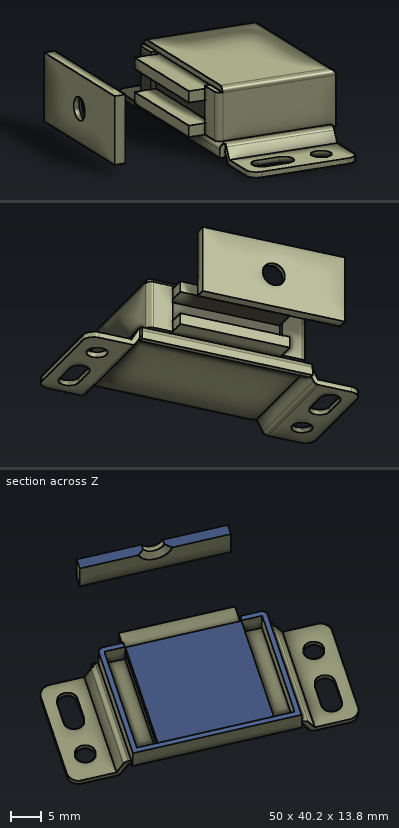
import cadquery as cq
import math

sheet = 1.0
depth = 20.0
half_depth = depth / 2

bracket_length = 50.0
plate_half_width = 15.0
plate_bottom = 2.5
plate_top = plate_bottom + sheet
leg_angle = 60.0
flange_width = 31.0
flange_bottom = 1.0
foot_corner_radius = 2.0
foot_hole_x = 21.0
foot_hole_y = 5.0
foot_hole_diameter = 3.5
slot_y = 4.0
slot_length = 7.5

case_width = 29.0
case_top = 13.0
lip_top = case_top - sheet
lip_opening = 20.0

magnet_width = lip_opening
magnet_height = 4.0
pole_thickness = 2.0
pole_overhang = 3.0

strike_width = 26.0
strike_height = 12.0
strike_thickness = 2.0
strike_bottom = 1.75
strike_back_y = -27.25
strike_hole_diameter = 4.0
countersink_diameter = 6.0
countersink_angle = 90.0

front_y = -half_depth - sheet
back_y = half_depth + sheet


def box(x_min, x_max, y_min, y_max, z_min, z_max):
    """Axis-aligned box between the given limits."""
    size = (x_max - x_min, y_max - y_min, z_max - z_min)
    return cq.Workplane("XY").box(*size, centered=False).translate((x_min, y_min, z_min))


def make_bracket_strip():
    """Raised plate with a sloping leg and a flat foot on either side, bent from one strip."""
    slope = math.radians(leg_angle)
    bend_end_x = plate_half_width + sheet * math.sin(slope)
    bend_end_z = plate_bottom + sheet * math.cos(slope)
    bend_middle_x = plate_half_width + sheet * math.sin(slope / 2)
    bend_middle_z = plate_bottom + sheet * math.cos(slope / 2)
    leg_foot_top_x = bend_end_x + (bend_end_z - sheet) / math.tan(slope)
    foot_bend_end_x = leg_foot_top_x - sheet * math.sin(slope)
    foot_bend_end_z = sheet - sheet * math.cos(slope)
    foot_bend_middle_x = leg_foot_top_x - sheet * math.sin(slope / 2)
    foot_bend_middle_z = sheet - sheet * math.cos(slope / 2)
    foot_end_x = bracket_length / 2
    half_profile = (
        cq.Workplane("XZ", origin=(0, half_depth, 0))
        .moveTo(0, plate_bottom)
        .lineTo(plate_half_width, plate_bottom)
        .lineTo(foot_bend_end_x, foot_bend_end_z)
        .threePointArc((foot_bend_middle_x, foot_bend_middle_z), (leg_foot_top_x, 0))
        .lineTo(foot_end_x, 0)
        .lineTo(foot_end_x, sheet)
        .lineTo(leg_foot_top_x, sheet)
        .lineTo(bend_end_x, bend_end_z)
        .threePointArc((bend_middle_x, bend_middle_z), (plate_half_width, plate_top))
        .lineTo(0, plate_top)
        .close()
    )
    half_strip = half_profile.extrude(depth).edges("|Z and >X").fillet(foot_corner_radius)
    return half_strip.union(half_strip.mirror("YZ"))


def make_bracket_flange():
    """Front flange bent down from the plate, its ends rounded to follow the leg bends."""
    half_width = flange_width / 2
    flange = box(-half_width, half_width, front_y, half_depth, flange_bottom, plate_top)
    flange = flange.edges("<Y and >Z").fillet(sheet)
    end_outline = plate_half_width + sheet
    envelope = box(-end_outline, end_outline, front_y, -half_depth, flange_bottom, plate_top)
    envelope = envelope.edges("|Y and >Z").fillet(sheet)
    return flange.intersect(envelope)


def cut_foot_openings(bracket):
    """Cut a round hole and a slot through each foot, placed in reverse order on the two feet."""
    for side in (-1, 1):
        hole = (
            cq.Workplane("XY")
            .center(side * foot_hole_x, side * foot_hole_y)
            .circle(foot_hole_diameter / 2)
            .extrude(sheet)
        )
        slot = (
            cq.Workplane("XY")
            .center(side * foot_hole_x, -side * slot_y)
            .slot2D(slot_length, foot_hole_diameter, 90)
            .extrude(sheet)
        )
        bracket = bracket.cut(hole).cut(slot)
    return bracket


def make_case():
    """Back wall bent up from the bracket plate, with top, side walls and two front lips."""
    half_width = case_width / 2
    case = box(-half_width, half_width, -half_depth, back_y, plate_bottom, case_top)
    case = case.edges("(|Y and >Z) or (|X and >Y)").fillet(sheet)
    bracket_space = box(-half_width, half_width, -half_depth, half_depth, plate_bottom, plate_top)
    case = case.cut(bracket_space)
    lip = box(-half_width, -lip_opening / 2, front_y, half_depth, plate_top, lip_top)
    lip = lip.edges("|Z and <X and <Y").fillet(sheet)
    case = case.union(lip).union(lip.mirror("YZ"))
    inner_half_width = half_width - sheet
    cavity = box(-inner_half_width, inner_half_width, -half_depth, half_depth, plate_top, lip_top)
    return case.cut(cavity)


def make_housing():
    """Folded sheet housing: bracket strip, front flange and case in one piece."""
    bracket = cut_foot_openings(make_bracket_strip().union(make_bracket_flange()))
    return bracket.union(make_case())


def make_pole_plate(bottom):
    """Pole plate that reaches from the back wall out between the lips."""
    half_width = magnet_width / 2
    tip_y = front_y - pole_overhang
    return box(-half_width, half_width, tip_y, half_depth, bottom, bottom + pole_thickness)


def make_magnet():
    """Magnet between the pole plates, flush with the front edge of the case top."""
    half_width = magnet_width / 2
    bottom = plate_top + pole_thickness
    return box(-half_width, half_width, -half_depth, half_depth, bottom, bottom + magnet_height)


def make_strike_plate():
    """Loose strike plate with a central countersunk hole, in front of the pole plates."""
    half_width = strike_width / 2
    plate = box(
        -half_width, half_width,
        strike_back_y - strike_thickness, strike_back_y,
        strike_bottom, strike_bottom + strike_height,
    )
    back_face = plate.faces(">Y").workplane(centerOption="CenterOfMass")
    return back_face.cskHole(strike_hole_diameter, countersink_diameter, countersink_angle)


housing = make_housing()
magnet = make_magnet()
strike_plate = make_strike_plate()

pole_plates = []
for pole_bottom in (plate_top, plate_top + pole_thickness + magnet_height):
    pole_plates.append(make_pole_plate(pole_bottom).val())

result = cq.Compound.makeCompound([housing.val(), magnet.val(), *pole_plates, strike_plate.val()])